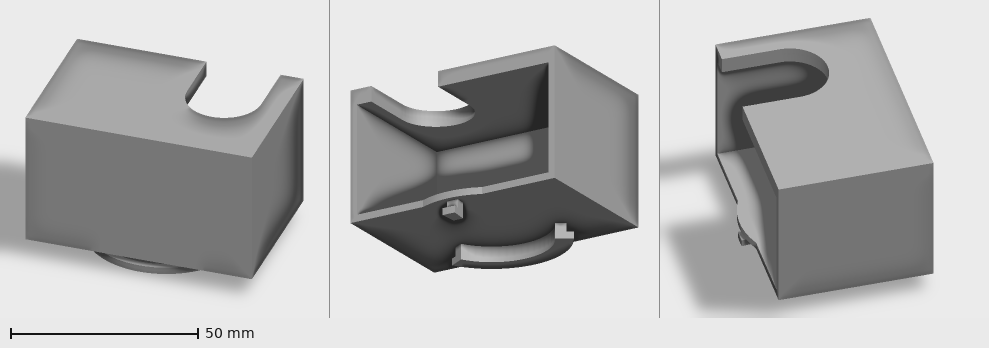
import cadquery as cq
import math

width = 64.0
height = 38.0
front_reach = 23.0
rear_reach = 20.0
wall = 2.0
roof = 4.5

slot_width = 20.9
slot_depth = 26.5
slot_side_margin = 6.5

mount_inner_radius = 17.0
neck_radius = 20.1
flange_radius = 22.0
neck_height = 2.5
flange_height = 2.0
front_lug_angle = 120.0
rear_lug_angle = 10.0

FRONT = 270.0
REAR = 90.0


def block(x_min, x_max, y_min, y_max, z_min, z_max):
    size = (x_max - x_min, y_max - y_min, z_max - z_min)
    return cq.Workplane("XY").box(*size, centered=False).translate((x_min, y_min, z_min))


def polar(radius, angle):
    radians = math.radians(angle)
    return (radius * math.cos(radians), radius * math.sin(radians))


def ring_sector(outer_radius, middle, span, z_min, sector_height):
    start = middle - span / 2
    end = middle + span / 2
    return (
        cq.Workplane("XY", origin=(0, 0, z_min))
        .moveTo(*polar(mount_inner_radius, start))
        .lineTo(*polar(outer_radius, start))
        .threePointArc(polar(outer_radius, middle), polar(outer_radius, end))
        .lineTo(*polar(mount_inner_radius, end))
        .threePointArc(polar(mount_inner_radius, middle), polar(mount_inner_radius, start))
        .close()
        .extrude(sector_height)
    )


def lug(middle, span):
    neck = ring_sector(neck_radius, middle, span, -neck_height, neck_height)
    flange_bottom = -neck_height - flange_height
    flange = ring_sector(flange_radius, middle, span, flange_bottom, flange_height)
    return neck.union(flange)


def roof_slot():
    radius = slot_width / 2
    center_x = width / 2 - slot_side_margin - radius
    end_center_y = rear_reach - slot_depth + radius
    z_min = height - roof
    straight = block(center_x - radius, center_x + radius, end_center_y, rear_reach, z_min, height)
    rounded_end = (
        cq.Workplane("XY", origin=(center_x, end_center_y, z_min)).circle(radius).extrude(roof)
    )
    return straight.union(rounded_end)


housing = block(-width / 2, width / 2, -front_reach, rear_reach, 0, height)
cavity = block(
    wall - width / 2, width / 2 - wall, wall - front_reach, rear_reach, wall, height - roof
)
housing = housing.cut(cavity).cut(roof_slot())

base_plate = cq.Workplane("XY").circle(flange_radius).extrude(wall)
housing = housing.union(base_plate)

result = housing.union(lug(FRONT, front_lug_angle)).union(lug(REAR, rear_lug_angle))